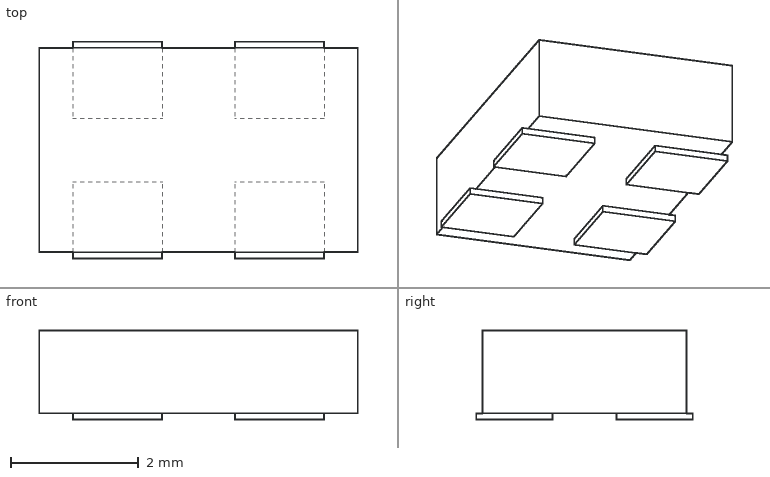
import cadquery as cq

housing_length = 5.0
housing_width = 3.2
housing_height = 1.3

pad_length = 1.4
pad_width = 1.2
pad_thickness = 0.1
pad_pitch = 2.54
pad_overhang = 0.1
pad_center_y = housing_width / 2 + pad_overhang - pad_width / 2


def make_housing():
    """Plain block resting on top of the pads."""
    block = cq.Workplane("XY").box(
        housing_length, housing_width, housing_height, centered=(True, True, False)
    )
    return block.translate((0, 0, pad_thickness))


def make_pad(center_x, center_y):
    """One terminal pad with its underside on Z = 0."""
    pad = cq.Workplane("XY").box(
        pad_length, pad_width, pad_thickness, centered=(True, True, False)
    )
    return pad.translate((center_x, center_y, 0))


housing = make_housing()

pads = []
for side_x in (-1, 1):
    for side_y in (-1, 1):
        pads.append(make_pad(side_x * pad_pitch / 2, side_y * pad_center_y))

result = cq.Compound.makeCompound([housing.val(), *[pad.val() for pad in pads]])